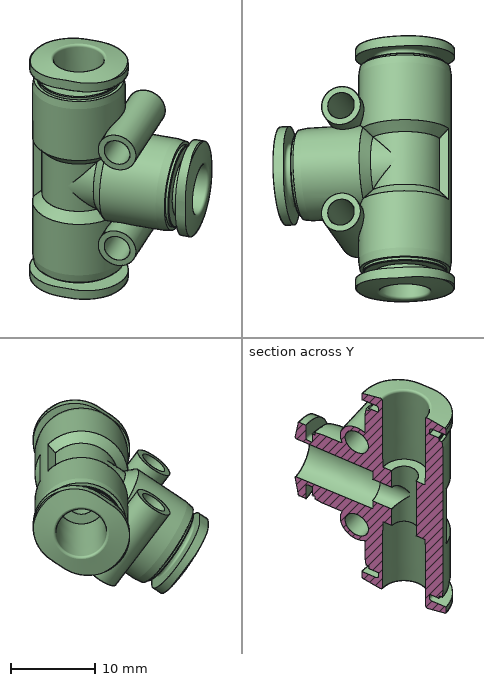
import cadquery as cq
import math

arm_length = 15.25
body_radius = 11.0 / 2
waist_radius = 8.8 / 2
shoulder_end = 4.4
shoulder_start = 3.26
rib_width = 1.6

nose_start = 11.45
nose_end = 12.45
nose_radius = 5.35
ring_end = 12.85
ring_radius = 9.9 / 2
ring_chamfer = 0.1

neck_radius = 7.2 / 2
neck_fillet = 0.3
flange_base = 13.7
flange_length = 11.8
flange_width = 9.8
face_slope = math.radians(10)
rim_chamfer = 0.15
mouth_radius = 3.3

socket_radius = 6.0 / 2
socket_floor_radius = socket_radius - 0.07
socket_floor = shoulder_end
mouth_rounding = mouth_radius - socket_radius
passage_radius = 3.4 / 2

eyelet_radius = 4.7 / 2
eyelet_hole_radius = 3.2 / 2
eyelet_offset = 6.6
eyelet_length = 2 * body_radius


def revolve_about_z(profile):
    """Revolve a closed (radius, height) profile about the Z axis."""
    return cq.Workplane("XZ").polyline(profile).close().revolve(360, (0, 0), (0, 1))


def make_flange():
    """Oval flange, long in X, with its outer face sloping away from the mouth."""
    height = arm_length - flange_base
    oval = cq.Workplane("XY").workplane(offset=flange_base).slot2D(flange_length, flange_width).extrude(height)
    rim_radius = flange_length / 2
    face_edge_radius = rim_radius - rim_chamfer
    face_edge_height = arm_length - (face_edge_radius - mouth_radius) * math.tan(face_slope)
    envelope = revolve_about_z([
        (0, flange_base),
        (rim_radius, flange_base),
        (rim_radius, face_edge_height - rim_chamfer),
        (face_edge_radius, face_edge_height),
        (mouth_radius, arm_length),
        (0, arm_length),
    ])
    return oval.intersect(envelope)


def make_neck_fillet():
    """Ring with a concave outer side, filling the corner between neck and flange."""
    profile = cq.Workplane("XZ").moveTo(passage_radius, flange_base - neck_fillet)
    profile = profile.lineTo(neck_radius, flange_base - neck_fillet)
    profile = profile.radiusArc((neck_radius + neck_fillet, flange_base), neck_fillet)
    profile = profile.lineTo(passage_radius, flange_base).close()
    return profile.revolve(360, (0, 0), (0, 1))


def make_arm():
    """One solid arm along +Z, from the tee centre to the flange face."""
    barrel = revolve_about_z([
        (0, 0),
        (waist_radius, 0),
        (waist_radius, shoulder_start),
        (body_radius, shoulder_end),
        (body_radius, nose_start),
        (nose_radius, nose_end),
        (ring_radius, nose_end),
        (ring_radius, ring_end - ring_chamfer),
        (ring_radius - ring_chamfer, ring_end),
        (neck_radius, ring_end),
        (neck_radius, flange_base),
        (0, flange_base),
    ])
    return barrel.union(make_flange()).union(make_neck_fillet())


def make_arm_bore():
    """Tube socket with a rounded mouth, and narrower passage, of the +Z arm."""
    profile = cq.Workplane("XZ").lineTo(passage_radius, 0)
    profile = profile.lineTo(passage_radius, socket_floor).lineTo(socket_floor_radius, socket_floor)
    profile = profile.lineTo(socket_radius, arm_length - mouth_rounding)
    profile = profile.radiusArc((mouth_radius, arm_length), mouth_rounding)
    profile = profile.lineTo(0, arm_length).close()
    return profile.revolve(360, (0, 0), (0, 1))


def make_rib():
    """Rib on the -X side that bridges the waist between the two Z arms."""
    rib_height = 2 * shoulder_end
    slab = cq.Workplane("XY").box(body_radius, rib_width, rib_height).translate((-body_radius / 2, 0, 0))
    return slab.intersect(cq.Workplane("XY").cylinder(rib_height, body_radius))


def at_each_arm(shape):
    """Copies of a +Z arm shape turned to the +Z, +X and -Z directions, joined."""
    joined = shape
    for angle in (90, 180):
        joined = joined.union(shape.rotate((0, 0, 0), (0, 1, 0), angle))
    return joined


def eyelet_cylinders(radius):
    """Cylinders along Y at both eyelet positions."""
    centres = [(eyelet_offset, eyelet_offset), (eyelet_offset, -eyelet_offset)]
    return cq.Workplane("XZ").pushPoints(centres).circle(radius).extrude(eyelet_length / 2, both=True)


result = at_each_arm(make_arm())
result = result.union(make_rib())
result = result.union(eyelet_cylinders(eyelet_radius))
result = result.cut(eyelet_cylinders(eyelet_hole_radius))
result = result.cut(at_each_arm(make_arm_bore()))